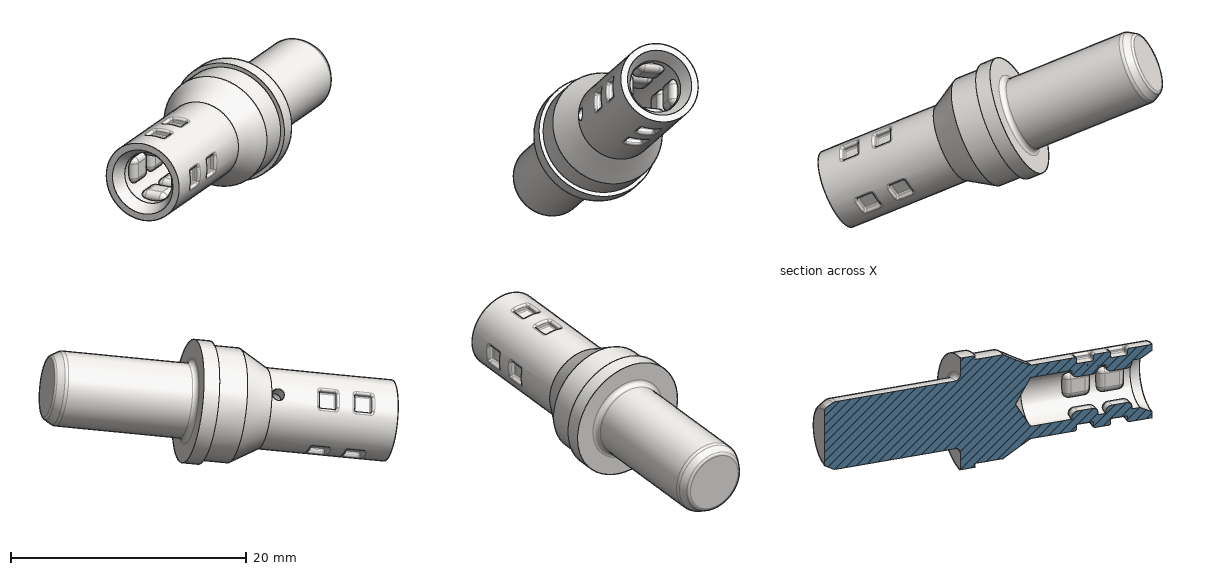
import cadquery as cq
import math

total_length = 30.02
barrel_end = 11.15
cone_end = 13.65
flange_start = 16.2
flange_end = 17.6

barrel_radius = 3.48
shoulder_radius = 4.92
flange_radius = 5.28
pin_radius = 3.2

root_fillet = 0.45
tip_chamfer_length = 0.9
tip_chamfer_angle = 30.0
tip_shoulder_blend = 0.6
tip_face_blend = 0.3

bore_radius = 2.28
bore_depth = 11.15
drill_point_angle = 118.0
mouth_radius = 2.88
mouth_depth = 1.1

dimple_stations = (3.03, 6.15)
dimple_rows = 4
pocket_width = 1.5
pocket_floor_radius = 2.88
pocket_corner_radius = 0.12
pocket_rim_fillet = 0.2
pocket_floor_fillet = 0.1
rim_drop = 0.3
bump_width = 2.45
bump_tip_radius = 1.6
bump_fillet = 0.57

vent_station = 10.57
vent_diameter = 1.05


def turned_body():
    """Pin, flange, shoulder and barrel as one revolved outline."""
    tip_start = total_length - tip_chamfer_length
    tip_face_radius = pin_radius - tip_chamfer_length * math.tan(math.radians(tip_chamfer_angle))
    outline = (
        cq.Workplane("XY")
        .lineTo(barrel_radius, 0)
        .lineTo(barrel_radius, barrel_end)
        .lineTo(shoulder_radius, cone_end)
        .lineTo(shoulder_radius, flange_start)
        .lineTo(flange_radius, flange_start)
        .lineTo(flange_radius, flange_end)
        .lineTo(pin_radius + root_fillet, flange_end)
        .radiusArc((pin_radius, flange_end + root_fillet), root_fillet)
        .lineTo(pin_radius, tip_start)
        .lineTo(tip_face_radius, total_length)
        .lineTo(0, total_length)
        .close()
    )
    body = outline.revolve(360, (0, 0, 0), (0, 1, 0))
    body = body.edges(cq.selectors.NearestToPointSelector((0, tip_start, 0))).fillet(tip_shoulder_blend)
    return body.faces(">Y").edges().fillet(tip_face_blend)


def socket_bore():
    """Blind bore with a conical bottom and a countersunk mouth."""
    point_length = bore_radius / math.tan(math.radians(drill_point_angle / 2))
    outline = (
        cq.Workplane("XY")
        .lineTo(mouth_radius, 0)
        .lineTo(bore_radius, mouth_depth)
        .lineTo(bore_radius, bore_depth)
        .lineTo(0, bore_depth + point_length)
        .close()
    )
    return outline.revolve(360, (0, 0, 0), (0, 1, 0))


def bump(station):
    """Rounded block standing inwards from the top wall of the bore."""
    block_top = (bore_radius + barrel_radius) / 2
    return (
        cq.Workplane("XY", origin=(0, station, bump_tip_radius))
        .rect(bump_width, bump_width)
        .extrude(block_top - bump_tip_radius)
        .edges("|Z or <Z")
        .fillet(bump_fillet)
    )


def pocket(station):
    """Square pocket cutter entering the barrel from above."""
    return (
        cq.Workplane("XY", origin=(0, station, pocket_floor_radius))
        .rect(pocket_width, pocket_width)
        .extrude(barrel_radius)
        .edges("|Z")
        .fillet(pocket_corner_radius)
        .faces("<Z")
        .edges()
        .fillet(pocket_floor_fillet)
    )


def press_dimple(body, station):
    """Add a bump below the top of the barrel and sink its rimmed pocket from above."""
    dented = body.union(bump(station)).cut(pocket(station))
    rim_zone = cq.selectors.BoxSelector(
        (-pocket_width, station - pocket_width, barrel_radius - rim_drop),
        (pocket_width, station + pocket_width, barrel_radius + rim_drop),
    )
    return dented.edges(rim_zone).fillet(pocket_rim_fillet)


def vent_hole():
    """Round cutter from the axis out through the -X wall."""
    return cq.Workplane("YZ", origin=(0, vent_station, 0)).circle(vent_diameter / 2).extrude(-flange_radius)


row_step = 360 / dimple_rows
part = turned_body().cut(socket_bore()).rotate((0, 0, 0), (0, 1, 0), row_step / 2)

for row in range(dimple_rows):
    for station in dimple_stations:
        part = press_dimple(part, station)
    part = part.rotate((0, 0, 0), (0, 1, 0), row_step)

result = part.cut(vent_hole())